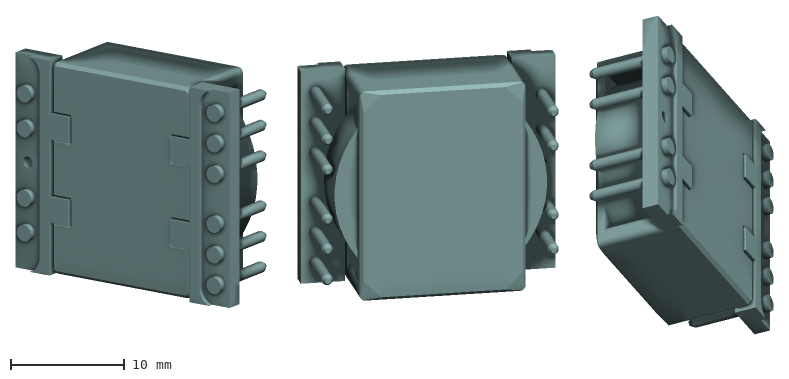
import cadquery as cq
import math


RAIL_FRONT = 0.14
CORE_FRONT = 0.32
LEDGE_FRONT = 0.62
RAIL_BACK = 2.13
WINDING_FRONT = 3.03
SPLIT = 7.68
PIN_TIP = 7.85
CORE_BACK = 8.75

CORE_WIDTH = 14.95
CORE_HEIGHT = 19.4
CORE_CORNER_RADIUS = 0.57
CORE_CHAMFER = 0.32
COVER_CORNER_SETBACK = 1.55
COVER_CORNER_ANGLE = 11.0
CHANNEL_HEIGHT = 15.81
CHANNEL_EDGE_RADIUS = 0.57
CHANNEL_CHAMFER = 0.3

WINDING_RADIUS = 9.55

RAIL_SPAN = 22.92
RAIL_GAP = 15.0
RAIL_HEIGHT = 19.7
RAIL_WIDTH = (RAIL_SPAN - RAIL_GAP) / 2
RIDGE_OUTER_X = 8.55
RIDGE_FLARE = 1.05
RIDGE_FLARE_RADIUS = 1.6

TAB_TIP_X = 5.5
TAB_HEIGHT = 2.34
TAB_CENTER_Z = 3.8
POCKET_FLARE = 0.2

PIN_X = 10.15
PIN_DIAMETER = 1.0
PIN_HEAD_DIAMETER = 1.51
PIN_TIP_DIAMETER = 0.5
PIN_TAPER_LENGTH = 0.45
LEFT_PIN_PITCH = 3.19
RIGHT_PIN_PITCH = 2.8
RIGHT_PIN_FIRST_Z = 2.3

TAB_CENTERS_Z = (-TAB_CENTER_Z, TAB_CENTER_Z)
LEFT_PINS_Z = [LEFT_PIN_PITCH * step for step in (-2, -1, 1, 2)]
RIGHT_PINS_Z = [
    side * (RIGHT_PIN_FIRST_Z + RIGHT_PIN_PITCH * step) for side in (-1, 1) for step in range(3)
]


def plane_at(y):
    """XZ work plane at depth y; a negative extrusion runs toward +Y."""
    return cq.Workplane("XZ", origin=(0, y, 0))


def core_block(front, back):
    """Rectangular core slab with its four Y edges rounded."""
    slab = plane_at(front).rect(CORE_WIDTH, CORE_HEIGHT).extrude(front - back)
    return slab.edges("|Y").fillet(CORE_CORNER_RADIUS)


def tab_pocket(side, center_z):
    """Pocket that fits the tab at its floor and flares toward the front."""
    depth = LEDGE_FRONT - CORE_FRONT
    flare_angle = math.degrees(math.atan(POCKET_FLARE / depth))
    length = CORE_WIDTH - TAB_TIP_X
    center_x = side * (TAB_TIP_X + length / 2)
    floor = plane_at(LEDGE_FRONT).center(center_x, center_z).rect(length, TAB_HEIGHT)
    return floor.extrude(depth, taper=-flare_angle)


def channel_chamfer():
    """Bar with sloped sides that chamfers both channel walls at the joint."""
    wall_z = CHANNEL_HEIGHT / 2
    mouth_z = wall_z + CHANNEL_CHAMFER
    bottom_y = SPLIT - CHANNEL_CHAMFER
    profile = [(bottom_y, -wall_z), (SPLIT, -mouth_z), (SPLIT, mouth_z), (bottom_y, wall_z)]
    return cq.Workplane("YZ").polyline(profile).close().extrude(CORE_WIDTH, both=True)


def make_core_cup():
    """Front core half with the open-ended winding channel and the tab pockets."""
    cup = core_block(CORE_FRONT, SPLIT).faces("<Y").chamfer(CORE_CHAMFER)
    channel = plane_at(WINDING_FRONT).rect(CORE_WIDTH, CHANNEL_HEIGHT).extrude(WINDING_FRONT - SPLIT)
    cup = cup.cut(channel)
    limit_z = CHANNEL_HEIGHT / 2 + CHANNEL_EDGE_RADIUS
    channel_region = cq.selectors.BoxSelector(
        (-CORE_WIDTH, WINDING_FRONT, -limit_z),
        (CORE_WIDTH, SPLIT, limit_z),
    )
    cup = cup.edges("|Y").edges(channel_region).fillet(CHANNEL_EDGE_RADIUS)
    cup = cup.cut(channel_chamfer())
    for side in (-1, 1):
        for center_z in TAB_CENTERS_Z:
            cup = cup.cut(tab_pocket(side, center_z))
    return cup


def cover_corner_wedge(side_x, side_z):
    """Wedge whose removal leaves a shallow sloped facet at one back corner of the cover."""
    corner_x = CORE_WIDTH / 2 - CORE_CHAMFER
    corner_z = CORE_HEIGHT / 2 - CORE_CHAMFER
    inset = COVER_CORNER_SETBACK / 2
    start = (side_x * (corner_x - inset), CORE_BACK, side_z * (corner_z - inset))
    plane = cq.Plane(origin=start, xDir=(side_x, 0, side_z), normal=(-side_z, 0, side_x))
    run = 2 * COVER_CORNER_SETBACK
    drop = run * math.tan(math.radians(COVER_CORNER_ANGLE))
    profile = cq.Workplane(plane).polyline([(0, 0), (run, 0), (run, -drop)]).close()
    return profile.extrude(run, both=True)


def make_core_cover():
    """Back plate with straight mitred chamfers and a facet on each back corner."""
    plate = plane_at(SPLIT).rect(CORE_WIDTH, CORE_HEIGHT).extrude(SPLIT - CORE_BACK)
    cover = plate.faces(">Y").chamfer(CORE_CHAMFER)
    for side_x in (-1, 1):
        for side_z in (-1, 1):
            cover = cover.cut(cover_corner_wedge(side_x, side_z))
    return cover.intersect(core_block(SPLIT, CORE_BACK))


def make_winding():
    """Disc that fills the channel and bulges out of both open sides of the core."""
    depth = SPLIT - WINDING_FRONT
    disc = plane_at(WINDING_FRONT).circle(WINDING_RADIUS).extrude(-depth)
    channel = plane_at(WINDING_FRONT).rect(2 * WINDING_RADIUS, CHANNEL_HEIGHT).extrude(-depth)
    return disc.intersect(channel.union(channel_chamfer()))


def rail_ridge(side):
    """Raised ridge along the core, flaring in an arc at both ends."""
    inner_x = side * RAIL_GAP / 2
    outer_x = side * RIDGE_OUTER_X
    flared_x = side * (RIDGE_OUTER_X + RIDGE_FLARE)
    end_z = RAIL_HEIGHT / 2
    arc_center_x = side * (RIDGE_OUTER_X + RIDGE_FLARE_RADIUS)
    flare_angle = math.acos(1 - RIDGE_FLARE / RIDGE_FLARE_RADIUS)
    flare_z = end_z - RIDGE_FLARE_RADIUS * math.sin(flare_angle)
    middle_x = arc_center_x - side * RIDGE_FLARE_RADIUS * math.cos(flare_angle / 2)
    middle_z = flare_z + RIDGE_FLARE_RADIUS * math.sin(flare_angle / 2)
    return (
        plane_at(LEDGE_FRONT)
        .moveTo(inner_x, -end_z)
        .lineTo(flared_x, -end_z)
        .threePointArc((middle_x, -middle_z), (outer_x, -flare_z))
        .lineTo(outer_x, flare_z)
        .threePointArc((middle_x, middle_z), (flared_x, end_z))
        .lineTo(inner_x, end_z)
        .close()
        .extrude(LEDGE_FRONT - RAIL_FRONT)
    )


def rail_tab(side, center_z):
    """Tab that reaches from the ridge into a core pocket."""
    length = RIDGE_OUTER_X - TAB_TIP_X
    center_x = side * (TAB_TIP_X + length / 2)
    outline = plane_at(LEDGE_FRONT).center(center_x, center_z).rect(length, TAB_HEIGHT)
    return outline.extrude(LEDGE_FRONT - RAIL_FRONT)


def rail_pin(side, z):
    """Headed pin with a tapered free end."""
    taper_start = PIN_TIP - PIN_TAPER_LENGTH
    half_profile = [
        (0, 0),
        (PIN_HEAD_DIAMETER / 2, 0),
        (PIN_HEAD_DIAMETER / 2, LEDGE_FRONT),
        (PIN_DIAMETER / 2, LEDGE_FRONT),
        (PIN_DIAMETER / 2, taper_start),
        (PIN_TIP_DIAMETER / 2, PIN_TIP),
        (0, PIN_TIP),
    ]
    pin = cq.Workplane("XY").polyline(half_profile).close().revolve(360, (0, 0), (0, 1))
    return pin.translate((side * PIN_X, 0, z))


def make_rail(side, pins_z):
    """Terminal rail with its ridge, tabs and pins as one body."""
    center_x = side * (RAIL_GAP + RAIL_WIDTH) / 2
    bar = plane_at(LEDGE_FRONT).center(center_x, 0).rect(RAIL_WIDTH, RAIL_HEIGHT)
    rail = bar.extrude(LEDGE_FRONT - RAIL_BACK).union(rail_ridge(side))
    for center_z in TAB_CENTERS_Z:
        rail = rail.union(rail_tab(side, center_z))
    for z in pins_z:
        rail = rail.union(rail_pin(side, z))
    return rail


def pin_hole():
    """Spare pin hole halfway along the left rail."""
    outline = plane_at(LEDGE_FRONT).center(-PIN_X, 0).circle(PIN_DIAMETER / 2)
    return outline.extrude(LEDGE_FRONT - RAIL_BACK)


core_cup = make_core_cup()
core_cover = make_core_cover()
winding = make_winding()
left_rail = make_rail(-1, LEFT_PINS_Z).cut(pin_hole())
right_rail = make_rail(1, RIGHT_PINS_Z)

result = cq.Compound.makeCompound([
    core_cup.val(),
    core_cover.val(),
    winding.val(),
    left_rail.val(),
    right_rail.val(),
])